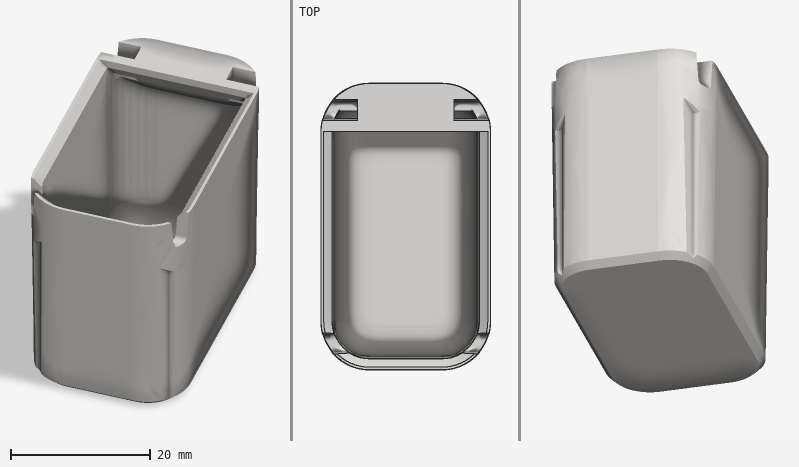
import cadquery as cq

length = 41.2
width = 24.4
height = 33.7
corner_radius = 6.95
wall_draft = 0.45
foot_chamfer = 1.0

wall = 1.6
rim_land = 0.4
rim_bevel = wall - rim_land
floor_thickness = 1.5
floor_fillet = 4.0

bridge_front = 13.65
bridge_edge = rim_bevel
bridge_back = length / 2 - wall
bridge_root_depth = 7.9

notch_center = 16.75
notch_top_width = 3.0
notch_bottom_width = 2.22
notch_depth = 4.95
notch_radius = 0.7
notch_inner_x = 6.95

relief_x = 9.785
relief_y = 17.65
relief_end_x = 8.795
relief_end_y = 19.53
relief_depth = 9.48
relief_rise = 1.75


def rounded_section(inset, z):
    """Rounded rectangle parallel to the outer rim, offset inwards."""
    return (
        cq.Sketch()
        .rect(width - 2 * inset, length - 2 * inset)
        .vertices()
        .fillet(corner_radius - inset)
        .moved(cq.Location(cq.Vector(0, 0, z)))
    )


def tapered_block(top_inset, top_z, bottom_inset, bottom_z):
    sections = (rounded_section(bottom_inset, bottom_z), rounded_section(top_inset, top_z))
    return cq.Workplane("XY").placeSketch(*sections).loft(ruled=True)


def make_bridge():
    return (
        cq.Workplane("YZ")
        .moveTo(bridge_front, 0)
        .lineTo(bridge_front, -bridge_edge)
        .lineTo(bridge_back, -bridge_root_depth)
        .lineTo(length / 2, -bridge_root_depth)
        .lineTo(length / 2, 0)
        .close()
        .extrude(width / 2, both=True)
    )


def make_cavity():
    floor_z = floor_thickness - height
    floor_inset = wall + wall_draft * (height - floor_thickness) / height
    cavity = tapered_block(wall, 0, floor_inset, floor_z).faces("<Z").edges().fillet(floor_fillet)
    bevel = tapered_block(rim_land, 0, wall, -rim_bevel)
    return cavity.union(bevel).cut(make_bridge())


def make_notch(side_x, side_y):
    """Tapered slot with a rounded bottom, running inwards from one side."""
    notch = (
        cq.Workplane("YZ")
        .moveTo(-notch_top_width / 2, 0)
        .lineTo(-notch_bottom_width / 2, -notch_depth)
        .lineTo(notch_bottom_width / 2, -notch_depth)
        .lineTo(notch_top_width / 2, 0)
        .close()
        .extrude(side_x * (width / 2 - notch_inner_x))
        .edges("|X and <Z")
        .fillet(notch_radius)
    )
    return notch.translate((side_x * notch_inner_x, side_y * notch_center, 0))


def make_relief():
    """Corner relief at +X +Y: two upright faces under a sloping top."""
    rise_y = relief_end_y - relief_y
    far_x = 2 * relief_end_x - relief_x
    far_y = relief_y + 2 * rise_y
    outline = [(relief_x, relief_y), (width, relief_y), (width, far_y), (far_x, far_y)]
    column = cq.Workplane("XY").workplane(offset=-height).polyline(outline).close().extrude(height)
    profile = [
        (relief_y, -height),
        (relief_y, -relief_depth),
        (far_y, 2 * relief_rise - relief_depth),
        (far_y, -height),
    ]
    return column.intersect(cq.Workplane("YZ").polyline(profile).close().extrude(width))


shell = tapered_block(0, 0, wall_draft, -height).faces("<Z").edges().chamfer(foot_chamfer)
result = shell.cut(make_cavity())

for side_x in (-1, 1):
    for side_y in (-1, 1):
        result = result.cut(make_notch(side_x, side_y))

relief = make_relief()
left_relief = relief.mirror("YZ")
for corner in (relief, left_relief, relief.mirror("XZ"), left_relief.mirror("XZ")):
    result = result.cut(corner)